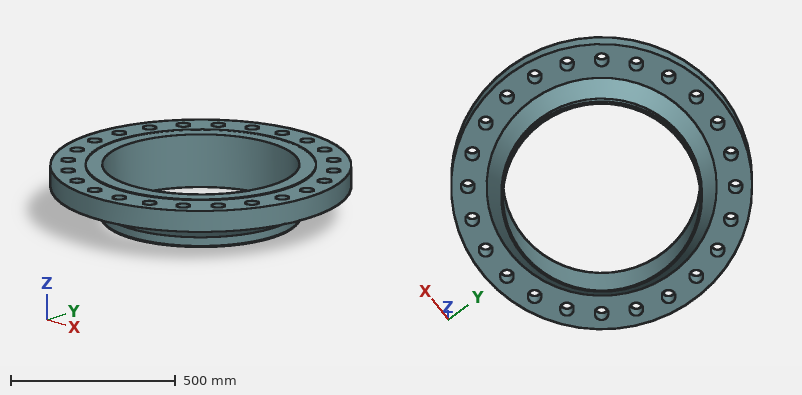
import cadquery as cq

flange_diameter = 914.0
flange_thickness = 67.0
raised_face_diameter = 700.0
raised_face_height = 3.0

neck_diameter = 610.0
neck_height = 33.0
hub_base_diameter = 699.0
hub_height = 66.0
bore_diameter = 599.0
bevel_width = 5.0
bevel_height = 5.5

bolt_circle_diameter = 813.0
bolt_hole_diameter = 41.0
bolt_count = 24
bolt_pitch_angle = 360 / bolt_count

hub_bottom = neck_height
flange_bottom = hub_bottom + hub_height
flange_top = flange_bottom + flange_thickness
total_height = flange_top + raised_face_height


def revolved_body():
    """Turn the half section of the flange about the Z axis."""
    bore_radius = bore_diameter / 2
    neck_radius = neck_diameter / 2
    hub_base_radius = hub_base_diameter / 2
    flange_radius = flange_diameter / 2
    raised_face_radius = raised_face_diameter / 2
    section = [
        (bore_radius, 0),
        (neck_radius - bevel_width, 0),
        (neck_radius, bevel_height),
        (neck_radius, hub_bottom),
        (hub_base_radius, flange_bottom),
        (flange_radius, flange_bottom),
        (flange_radius, flange_top),
        (raised_face_radius, flange_top),
        (raised_face_radius, total_height),
        (bore_radius, total_height),
    ]
    return cq.Workplane("XZ").polyline(section).close().revolve(360, (0, 0), (0, 1))


def bolt_holes():
    """Make the ring of cylinders that pierces the flange."""
    return (
        cq.Workplane("XY")
        .workplane(offset=flange_bottom)
        .polarArray(bolt_circle_diameter / 2, bolt_pitch_angle / 2, 360, bolt_count)
        .circle(bolt_hole_diameter / 2)
        .extrude(flange_thickness)
    )


result = revolved_body().cut(bolt_holes())